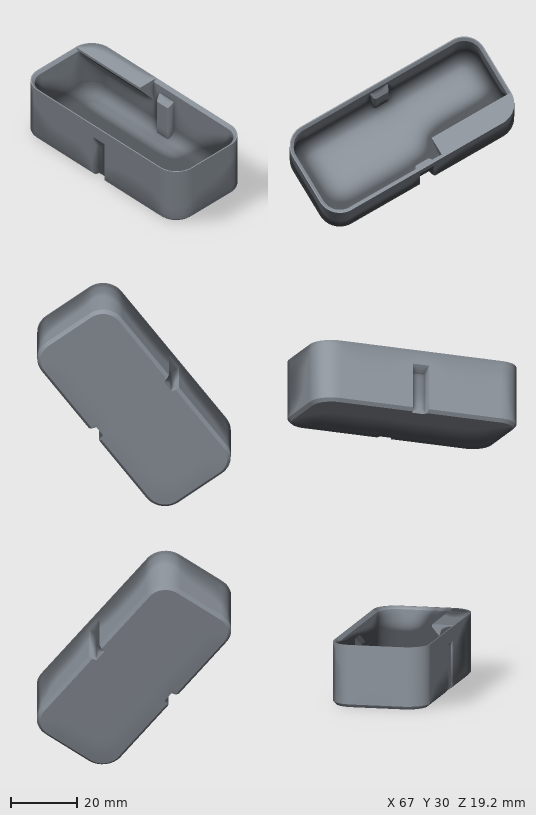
import cadquery as cq
import math

length = 67.0
width = 30.0
height = 19.2
corner_radius = 7.0
wall = 1.2
floor = 1.2
cavity_fillet = 4.0
bottom_chamfer = 1.0
rim_chamfer = 0.9

shelf_length = 27.9
shelf_depth = 7.0
shelf_lip = 0.9
shelf_drop = 7.0

groove_mouth = 5.2
groove_root = 3.8
groove_depth = 2.3
groove_height = 14.8
groove_skin = 0.8
rib_height = groove_height + groove_skin * (1 + math.sqrt(2))


def rounded_block(inset, bottom, top):
    """Box with rounded vertical edges, inset evenly from the outer walls."""
    return (
        cq.Workplane("XY", origin=(0, 0, bottom))
        .rect(length - 2 * inset, width - 2 * inset)
        .extrude(top - bottom)
        .edges("|Z")
        .fillet(corner_radius - inset)
    )


def make_cavity():
    """Bowl with a rounded floor edge and a mouth that flares at the rim."""
    cavity = rounded_block(wall, floor, height).faces("<Z").edges().fillet(cavity_fillet)
    mouth = rounded_block(wall - rim_chamfer, height - rim_chamfer, height + wall)
    return cavity.union(mouth.faces("<Z").edges().chamfer(rim_chamfer))


def make_shelf():
    """Shelf with a vertical lip and a steep underside, trimmed to the box corner."""
    back = width / 2
    front = back - shelf_depth
    inner_wall = back - wall
    lip_bottom = height - shelf_lip
    profile = [
        (front, height),
        (back, height),
        (back, lip_bottom - shelf_drop),
        (inner_wall, lip_bottom - shelf_drop),
        (front, lip_bottom),
    ]
    left_end = cq.Workplane("YZ", origin=(-length / 2, 0, 0))
    shelf = left_end.polyline(profile).close().extrude(shelf_length)
    return shelf.intersect(rounded_block(0, 0, height))


def below_sloping_roof(block, mouth_height):
    """Keep the part of a front-wall block under a roof falling inward at 45 degrees."""
    front = -width / 2
    roof = (
        cq.Workplane("YZ", origin=(-length / 2, 0, 0))
        .polyline([(front, 0), (front, mouth_height), (front + mouth_height, 0)])
        .close()
        .extrude(length)
    )
    return block.intersect(roof)


def groove_plan():
    front = -width / 2
    root = front + groove_depth
    return cq.Workplane("XY").polyline(
        [
            (-groove_mouth / 2, front),
            (groove_mouth / 2, front),
            (groove_root / 2, root),
            (-groove_root / 2, root),
        ]
    ).close()


def make_groove():
    return below_sloping_roof(groove_plan().extrude(height), groove_height)


def make_rib():
    """Groove shape thickened by the skin, with rounded vertical edges."""
    rib = groove_plan().offset2D(groove_skin, "arc").extrude(height)
    inside = rounded_block(wall / 2, floor / 2, height)
    return below_sloping_roof(rib, rib_height).intersect(inside)


def on_both_long_walls(feature):
    return feature.union(feature.mirror("XZ"))


body = rounded_block(0, 0, height).faces("<Z").edges().chamfer(bottom_chamfer)
result = (
    body.cut(make_cavity())
    .union(make_shelf())
    .union(on_both_long_walls(make_rib()))
    .cut(on_both_long_walls(make_groove()))
)